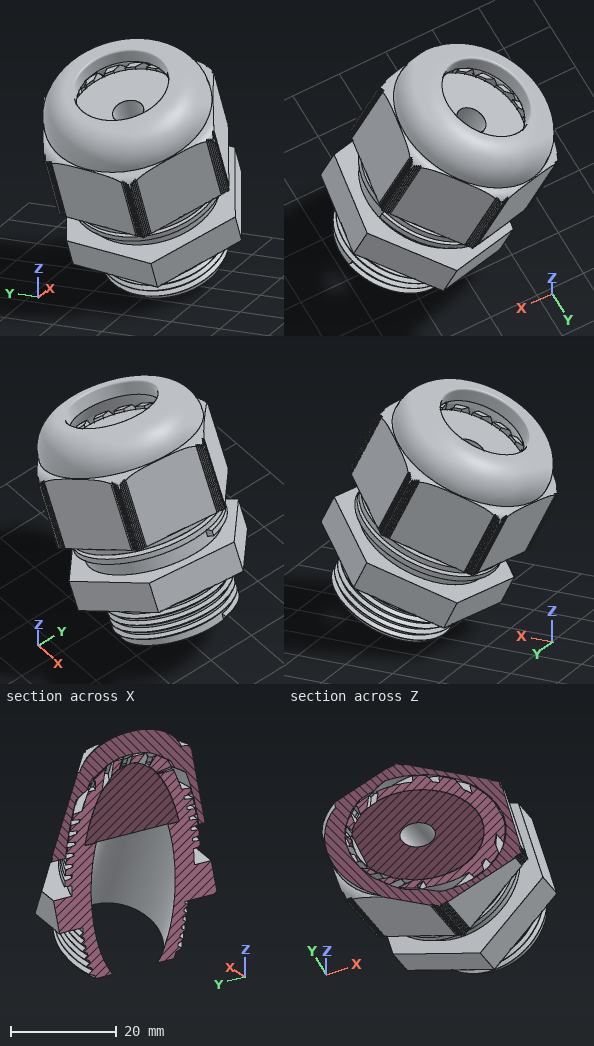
import cadquery as cq
import math


TILT_ABOUT_X = -1.2
TILT_ABOUT_Y = -26.7

HEX_CORNER_ANGLE = 20.6
FLANGE_ACROSS_CORNERS = 37.6
NUT_ACROSS_CORNERS = 38.0

FLANGE_BOTTOM = 10.0
FLANGE_TOP = FLANGE_BOTTOM + 6.4
NUT_BOTTOM = 23.6
NUT_SHOULDER = 38.85
NUT_TOP = 45.9

ENTRY_ROOT_DIAMETER = 23.2
ENTRY_CREST_DIAMETER = 24.9
ENTRY_PITCH = 1.5
ENTRY_RIDGE_WIDTH = 1.4
ENTRY_CREST_WIDTH = 0.05
ENTRY_START_ANGLE = 15.0
ENTRY_START = 0.7
ENTRY_TURNS = 5.69

NECK_DIAMETER = 27.0
NECK_CREST_DIAMETER = 30.1
NECK_PITCH = 2.0
NECK_RIDGE_WIDTH = 1.6
NECK_CREST_WIDTH = 1.15
NECK_START_ANGLE = 18.0
NECK_START = 18.6
NECK_TURNS = 6.5
THREAD_ROOT_OVERLAP = 0.25

DOME_DIAMETER = 32.45
OPENING_DIAMETER = 18.3
OPENING_EDGE_RADIUS = 0.45
OPENING_DEPTH = 2.95
NUT_THREAD_BORE_DIAMETER = 30.25
NUT_INNER_BORE_DIAMETER = 27.5
NUT_THREAD_BORE_END = 33.8
GROOVE_COUNT = 4
GROOVE_PITCH = 0.35
GROOVE_LAND = 0.25

SEAL_DIAMETER = 22.65
SEAL_HOLE_DIAMETER = 6.0
SEAL_BOTTOM = 25.1
SEAL_TOP = 38.7
FINGER_TOP = SEAL_TOP + 0.55
FINGER_TIP_DIAMETER = 24.9
CLAMP_CONE_SLOPE = 2.0
FINGER_COUNT = 17
FINGER_SLOT_WIDTH = 1.45
FINGER_SLOT_BOTTOM = 34.85
FINGER_SLOT_LENGTH = 6.15
FINGER_SLOT_SLANT = 50.0
FIRST_SLOT_ANGLE = 7.1


def cone_station(radius):
    """Axial position of the clamping cone at a radius."""
    return FINGER_TOP - CLAMP_CONE_SLOPE * (radius - FINGER_TIP_DIAMETER / 2)


def polar(radius, angle):
    """Point at a radius and an angle in degrees."""
    return (radius * math.cos(math.radians(angle)), radius * math.sin(math.radians(angle)))


def thread_ridge(root_diameter, crest_diameter, pitch, ridge_width, crest_width, turns, start, start_angle):
    """Right-handed helical ridge with a trapezoidal section."""
    root = root_diameter / 2
    crest = crest_diameter / 2
    buried = root - THREAD_ROOT_OVERLAP
    path = cq.Wire.makeHelix(pitch, pitch * turns, root)
    ridge = (
        cq.Workplane("XZ")
        .polyline([
            (buried, -ridge_width / 2),
            (crest, -crest_width / 2),
            (crest, crest_width / 2),
            (buried, ridge_width / 2),
        ])
        .close()
        .sweep(cq.Workplane(path), isFrenet=True)
    )
    return ridge.rotate((0, 0, 0), (0, 0, 1), start_angle).translate((0, 0, start))


def finger_slots():
    """Slanted slots that split the top of the housing into clamping fingers."""
    slot = (
        cq.Workplane("XY")
        .box(FINGER_SLOT_LENGTH, FINGER_SLOT_WIDTH, FINGER_TOP - FINGER_SLOT_BOTTOM,
             centered=(True, True, False))
        .rotate((0, 0, 0), (0, 0, 1), -FINGER_SLOT_SLANT)
        .translate((SEAL_DIAMETER / 2, 0, FINGER_SLOT_BOTTOM))
    )
    slots = []
    for index in range(FINGER_COUNT):
        angle = FIRST_SLOT_ANGLE + index * 360 / FINGER_COUNT
        slots.append(slot.rotate((0, 0, 0), (0, 0, 1), angle))
    return slots


def make_housing():
    entry = ENTRY_ROOT_DIAMETER / 2
    neck = NECK_DIAMETER / 2
    passage = OPENING_DIAMETER / 2
    seat = SEAL_DIAMETER / 2
    tube = (
        cq.Workplane("XZ")
        .polyline([
            (passage, 0),
            (entry, 0),
            (entry, FLANGE_BOTTOM),
            (neck, FLANGE_BOTTOM),
            (neck, cone_station(neck)),
            (FINGER_TIP_DIAMETER / 2, FINGER_TOP),
            (seat, FINGER_TOP),
            (seat, SEAL_BOTTOM),
            (passage, SEAL_BOTTOM),
        ])
        .close()
        .revolve(360, (0, 0, 0), (0, 1, 0))
    )
    flange = (
        cq.Workplane("XY", origin=(0, 0, FLANGE_BOTTOM))
        .polygon(6, FLANGE_ACROSS_CORNERS)
        .circle(entry)
        .extrude(FLANGE_TOP - FLANGE_BOTTOM)
        .rotate((0, 0, 0), (0, 0, 1), HEX_CORNER_ANGLE)
    )
    entry_thread = thread_ridge(
        ENTRY_ROOT_DIAMETER, ENTRY_CREST_DIAMETER, ENTRY_PITCH, ENTRY_RIDGE_WIDTH,
        ENTRY_CREST_WIDTH, ENTRY_TURNS, ENTRY_START, ENTRY_START_ANGLE,
    )
    neck_thread = thread_ridge(
        NECK_DIAMETER, NECK_CREST_DIAMETER, NECK_PITCH, NECK_RIDGE_WIDTH,
        NECK_CREST_WIDTH, NECK_TURNS, NECK_START, NECK_START_ANGLE,
    )
    housing = tube.union(flange)
    for slot in finger_slots():
        housing = housing.cut(slot)
    return housing.union(entry_thread).union(neck_thread)


def grooved_hexagon():
    """Corner points of the nut hexagon with V grooves next to every corner."""
    corner = NUT_ACROSS_CORNERS / 2
    apothem = corner * math.cos(math.radians(30))
    groove_depth = GROOVE_PITCH * math.sin(math.radians(60))
    groove_band = GROOVE_LAND + GROOVE_COUNT * GROOVE_PITCH
    half_side = corner / 2
    side = [(apothem, -half_side)]
    for band_start in (GROOVE_LAND - half_side, half_side - groove_band):
        for index in range(GROOVE_COUNT):
            groove_start = band_start + index * GROOVE_PITCH
            side.append((apothem, groove_start))
            side.append((apothem - groove_depth, groove_start + GROOVE_PITCH / 2))
        side.append((apothem, band_start + GROOVE_COUNT * GROOVE_PITCH))

    points = []
    for index in range(6):
        angle = HEX_CORNER_ANGLE + 30 + index * 60
        for outward, along in side:
            offset_angle = math.degrees(math.atan2(along, outward))
            points.append(polar(math.hypot(outward, along), angle + offset_angle))
    return points


def nut_cavity():
    thread_bore = NUT_THREAD_BORE_DIAMETER / 2
    inner_bore = NUT_INNER_BORE_DIAMETER / 2
    opening = OPENING_DIAMETER / 2
    return (
        cq.Workplane("XZ")
        .polyline([
            (0, NUT_BOTTOM),
            (thread_bore, NUT_BOTTOM),
            (thread_bore, NUT_THREAD_BORE_END),
            (inner_bore, NUT_THREAD_BORE_END + thread_bore - inner_bore),
            (inner_bore, cone_station(inner_bore)),
            (FINGER_TIP_DIAMETER / 2, FINGER_TOP),
            (opening, NUT_TOP - OPENING_DEPTH),
            (opening, NUT_TOP - OPENING_EDGE_RADIUS),
        ])
        .radiusArc((opening + OPENING_EDGE_RADIUS, NUT_TOP), OPENING_EDGE_RADIUS)
        .lineTo(0, NUT_TOP)
        .close()
        .revolve(360, (0, 0, 0), (0, 1, 0))
    )


def make_nut():
    corner = NUT_ACROSS_CORNERS / 2
    dome = DOME_DIAMETER / 2
    dome_height = NUT_TOP - NUT_SHOULDER
    rim = OPENING_DIAMETER / 2 + OPENING_EDGE_RADIUS
    dome_arc_radius = ((dome - rim) ** 2 + dome_height ** 2) / (2 * dome_height)
    rounding = corner - dome
    hexagon = (
        cq.Workplane("XY", origin=(0, 0, NUT_BOTTOM))
        .polyline(grooved_hexagon())
        .close()
        .extrude(NUT_SHOULDER - NUT_BOTTOM)
    )
    rounded_corners = (
        cq.Workplane("XZ")
        .moveTo(0, NUT_BOTTOM)
        .lineTo(corner, NUT_BOTTOM)
        .lineTo(corner, NUT_SHOULDER - rounding)
        .radiusArc((dome, NUT_SHOULDER), -rounding)
        .lineTo(0, NUT_SHOULDER)
        .close()
        .revolve(360, (0, 0, 0), (0, 1, 0))
    )
    cap = (
        cq.Workplane("XZ")
        .moveTo(0, NUT_SHOULDER)
        .lineTo(dome, NUT_SHOULDER)
        .radiusArc((rim, NUT_TOP), -dome_arc_radius)
        .lineTo(0, NUT_TOP)
        .close()
        .revolve(360, (0, 0, 0), (0, 1, 0))
    )
    return hexagon.intersect(rounded_corners).union(cap).cut(nut_cavity())


def make_seal():
    return (
        cq.Workplane("XY", origin=(0, 0, SEAL_BOTTOM))
        .circle(SEAL_DIAMETER / 2)
        .circle(SEAL_HOLE_DIAMETER / 2)
        .extrude(SEAL_TOP - SEAL_BOTTOM)
    )


def tilted(body):
    """Turns an upright body to the attitude of the gland."""
    about_x = body.rotate((0, 0, 0), (1, 0, 0), TILT_ABOUT_X)
    return about_x.rotate((0, 0, 0), (0, 1, 0), TILT_ABOUT_Y)


housing = tilted(make_housing())
nut = tilted(make_nut())
seal = tilted(make_seal())

result = cq.Compound.makeCompound([
    housing.solids().val(),
    nut.solids().val(),
    seal.val(),
])